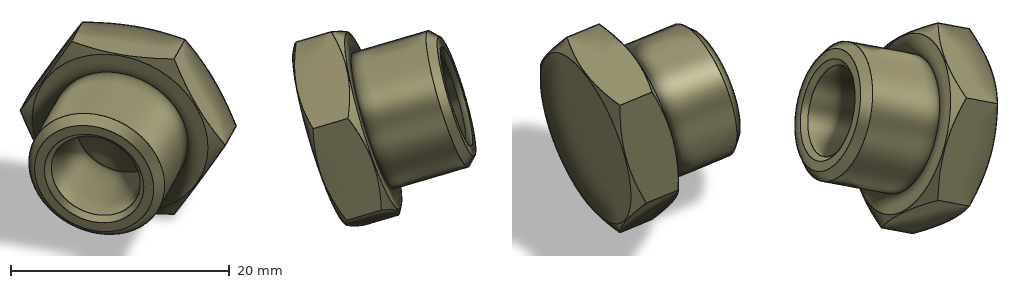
import cadquery as cq
import math

TOTAL_LENGTH = 13.0

HEX_SIDES = 6
ACROSS_FLATS = 17.0
HEAD_THICKNESS = 5.0
HEAD_FACE_DIAMETER = 16.8
HEAD_CHAMFER_ANGLE = 30.0

SHANK_DIAMETER = 13.0
SHANK_LENGTH = TOTAL_LENGTH - HEAD_THICKNESS
SHANK_CHAMFER = 0.8

BORE_DIAMETER = 8.5
BORE_DEPTH = 8.0
BORE_CHAMFER = 0.5
DRILL_POINT_ANGLE = 135.0


def revolve_about_y(profile):
    """Revolve a closed (radius, y) profile around the Y axis."""
    return cq.Workplane("XY").polyline(profile).close().revolve(360, (0, 0, 0), (0, 1, 0))


def make_head():
    """Hexagonal prism with its corners turned off conically on both faces."""
    across_corners = ACROSS_FLATS / math.cos(math.pi / HEX_SIDES)
    prism = cq.Workplane("XZ").polygon(HEX_SIDES, across_corners).extrude(-HEAD_THICKNESS)

    corner_radius = across_corners / 2
    face_radius = HEAD_FACE_DIAMETER / 2
    chamfer_height = (corner_radius - face_radius) * math.tan(math.radians(HEAD_CHAMFER_ANGLE))
    envelope = revolve_about_y([
        (0, 0),
        (face_radius, 0),
        (corner_radius, chamfer_height),
        (corner_radius, HEAD_THICKNESS - chamfer_height),
        (face_radius, HEAD_THICKNESS),
        (0, HEAD_THICKNESS),
    ])
    return prism.intersect(envelope)


def make_shank():
    """Cylindrical shank with a chamfered free end."""
    shank = cq.Workplane("XZ").circle(SHANK_DIAMETER / 2).extrude(SHANK_LENGTH)
    return shank.faces("<Y").edges().chamfer(SHANK_CHAMFER)


def make_bore():
    """Blind drilled bore with a chamfered mouth at the free end of the shank."""
    bore_radius = BORE_DIAMETER / 2
    mouth_y = -SHANK_LENGTH
    bottom_y = mouth_y + BORE_DEPTH
    point_height = bore_radius / math.tan(math.radians(DRILL_POINT_ANGLE / 2))
    return revolve_about_y([
        (0, mouth_y),
        (bore_radius + BORE_CHAMFER, mouth_y),
        (bore_radius, mouth_y + BORE_CHAMFER),
        (bore_radius, bottom_y),
        (0, bottom_y + point_height),
    ])


result = make_head().union(make_shank()).cut(make_bore())